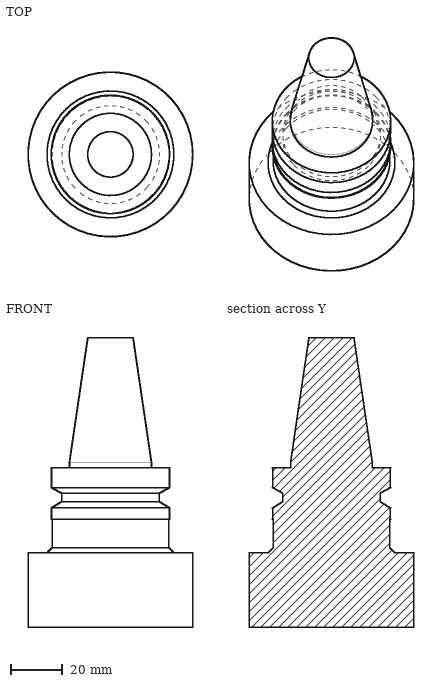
import cadquery as cq

body_diameter = 64.0
shoulder_base_diameter = 49.2
neck_diameter = 45.4
flange_diameter = 46.0
groove_diameter = 38.0
shank_diameter = 31.9
tip_diameter = 17.6

total_height = 112.4
body_top = 29.0
shoulder_top = 30.9
flange_bottom = 41.8
lower_rim_top = 46.3
groove_bottom = 48.8
groove_top = 51.9
upper_rim_bottom = 54.2
flange_top = 61.9
taper_start = 64.0

profile = [
    (body_diameter, 0),
    (body_diameter, body_top),
    (shoulder_base_diameter, body_top),
    (neck_diameter, shoulder_top),
    (neck_diameter, flange_bottom),
    (flange_diameter, flange_bottom),
    (flange_diameter, lower_rim_top),
    (groove_diameter, groove_bottom),
    (groove_diameter, groove_top),
    (flange_diameter, upper_rim_bottom),
    (flange_diameter, flange_top),
    (shank_diameter, flange_top),
    (shank_diameter, taper_start),
    (tip_diameter, total_height),
]

outline = [(0, 0)]
outline += [(diameter / 2, height) for diameter, height in profile]
outline.append((0, total_height))

result = cq.Workplane("XZ").polyline(outline).close().revolve(360, (0, 0), (0, 1))